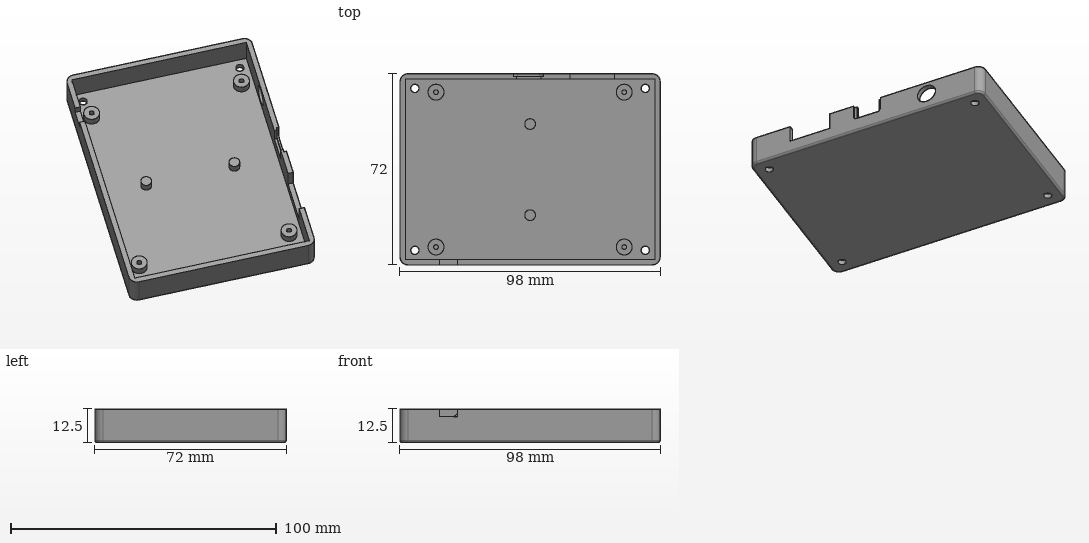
import cadquery as cq

LENGTH = 98.0
WIDTH = 72.0
HEIGHT = 12.5
WALL = 2.1
FLOOR = 2.1
CORNER_RADIUS = 3.0
BOTTOM_RADIUS = 0.8

SCREW_HOLE_DIAMETER = 3.0
SCREW_SPACING_X = 86.7
SCREW_SPACING_Y = 61.0

STANDOFF_DIAMETER = 6.0
STANDOFF_BORE = 1.8
STANDOFF_HEIGHT = 3.0
STANDOFF_SPACING_X = 70.9
STANDOFF_SPACING_Y = 58.3
PIN_DIAMETER = 4.0
PIN_HEIGHT = 3.0
PIN_SPACING_Y = 34.3
MOUNT_CENTER_Y = -0.1

FRONT_NOTCH_X = -30.8
FRONT_NOTCH_WIDTH = 6.8
FRONT_NOTCH_DEPTH = 2.8

WIDE_NOTCH_X = 23.4
WIDE_NOTCH_WIDTH = 16.7
WIDE_NOTCH_DEPTH = 7.1
PLUG_NOTCH_X = -0.6
PLUG_NOTCH_WIDTH = 9.2
PLUG_NOTCH_DEPTH = 5.5
PLUG_RECESS_MARGIN = 1.1
PLUG_RECESS_DEPTH = 1.0
PLUG_RECESS_RADIUS = 1.6
JACK_DIAMETER = 7.5
JACK_X = -25.7
JACK_Z = 7.3

BACK_WALL_INNER_Y = WIDTH / 2 - WALL


def block(x_size, y_size, z_size, x, y, z):
    """Box centred on x and y, with its underside at z."""
    return cq.Workplane("XY").box(x_size, y_size, z_size, centered=(True, True, False)).translate((x, y, z))


def rim_notch(x, y, width, thickness, depth):
    """Cutter for a rectangular notch that opens at the rim."""
    return block(width, thickness, depth, x, y, HEIGHT - depth)


def make_shell():
    """Open tray with rounded outer corners and bottom edge, and a square-cornered cavity."""
    body = block(LENGTH, WIDTH, HEIGHT, 0, 0, 0)
    body = body.edges("|Z").fillet(CORNER_RADIUS).faces("<Z").fillet(BOTTOM_RADIUS)
    return body.cut(block(LENGTH - 2 * WALL, WIDTH - 2 * WALL, HEIGHT - FLOOR, 0, 0, FLOOR))


def cut_screw_holes(body):
    holes = (
        cq.Workplane("XY")
        .rarray(SCREW_SPACING_X, SCREW_SPACING_Y, 2, 2)
        .circle(SCREW_HOLE_DIAMETER / 2)
        .extrude(FLOOR)
    )
    return body.cut(holes)


def cut_front_notch(body):
    y = -(WIDTH - WALL) / 2
    return body.cut(rim_notch(FRONT_NOTCH_X, y, FRONT_NOTCH_WIDTH, WALL, FRONT_NOTCH_DEPTH))


def cut_wide_notch(body):
    y = (WIDTH - WALL) / 2
    return body.cut(rim_notch(WIDE_NOTCH_X, y, WIDE_NOTCH_WIDTH, WALL, WIDE_NOTCH_DEPTH))


def cut_plug_notch(body):
    """Notch through the wall, inside a larger outer recess with rounded lower corners."""
    notch_y = (WIDTH - WALL) / 2
    notch = rim_notch(PLUG_NOTCH_X, notch_y, PLUG_NOTCH_WIDTH, WALL, PLUG_NOTCH_DEPTH)
    recess_y = (WIDTH - PLUG_RECESS_DEPTH) / 2
    recess_width = PLUG_NOTCH_WIDTH + 2 * PLUG_RECESS_MARGIN
    recess_depth = PLUG_NOTCH_DEPTH + PLUG_RECESS_MARGIN
    recess = rim_notch(PLUG_NOTCH_X, recess_y, recess_width, PLUG_RECESS_DEPTH, recess_depth)
    recess = recess.faces("<Z").edges("|Y").fillet(PLUG_RECESS_RADIUS)
    return body.cut(notch).cut(recess)


def cut_jack_hole(body):
    """Round hole through the back wall."""
    hole = (
        cq.Workplane("XZ", origin=(JACK_X, BACK_WALL_INNER_Y, JACK_Z))
        .circle(JACK_DIAMETER / 2)
        .extrude(-WALL)
    )
    return body.cut(hole)


def make_housing():
    body = make_shell()
    body = cut_screw_holes(body)
    body = cut_front_notch(body)
    body = cut_wide_notch(body)
    body = cut_plug_notch(body)
    return cut_jack_hole(body)


def make_standoff(x, y):
    """Tubular standoff resting on the floor."""
    return (
        cq.Workplane("XY", origin=(x, y, FLOOR))
        .circle(STANDOFF_DIAMETER / 2)
        .circle(STANDOFF_BORE / 2)
        .extrude(STANDOFF_HEIGHT)
    )


def make_pin(x, y):
    """Plain locating pin resting on the floor."""
    return cq.Workplane("XY", origin=(x, y, FLOOR)).circle(PIN_DIAMETER / 2).extrude(PIN_HEIGHT)


housing = make_housing()

standoffs = []
for side_x in (-1, 1):
    for side_y in (-1, 1):
        standoff_x = side_x * STANDOFF_SPACING_X / 2
        standoff_y = MOUNT_CENTER_Y + side_y * STANDOFF_SPACING_Y / 2
        standoffs.append(make_standoff(standoff_x, standoff_y).val())

pins = []
for side_y in (-1, 1):
    pins.append(make_pin(0, MOUNT_CENTER_Y + side_y * PIN_SPACING_Y / 2).val())

result = cq.Compound.makeCompound([housing.val(), *standoffs, *pins])